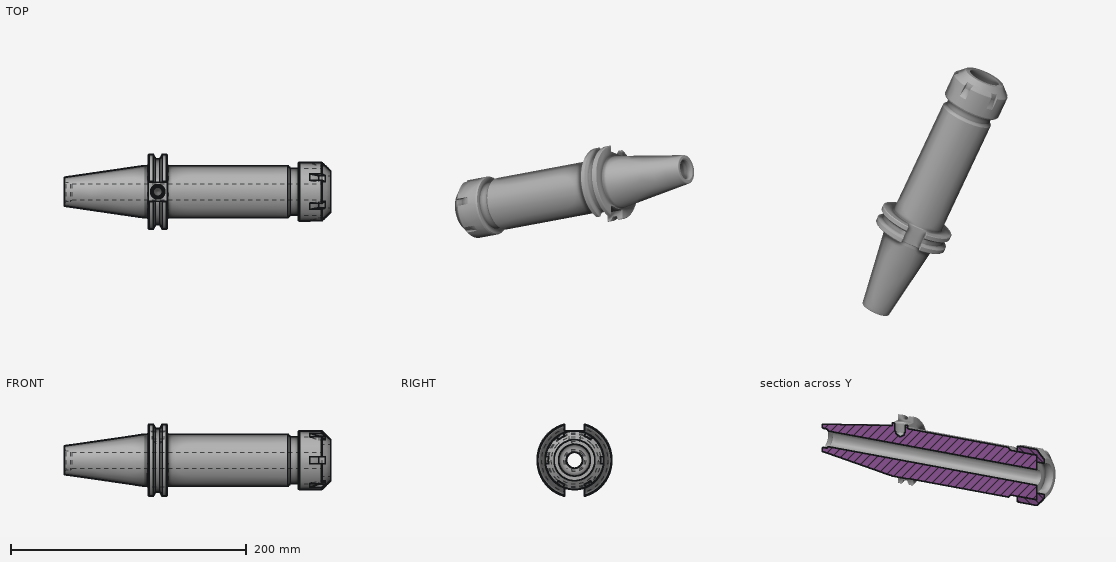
import cadquery as cq
import math


overall_length = 226.25

gauge_diameter = 44.45
taper_length = 68.25
taper_ratio = 7 / 24
small_end_diameter = gauge_diameter - taper_length * taper_ratio
tip_fillet = 1.0
tip_x = -taper_length

flange_diameter = 63.5
flange_start = 3.18
flange_width = 15.87
flange_end = flange_start + flange_width
flange_middle = flange_start + flange_width / 2
flange_chamfer = 0.65
flange_root_fillet = 0.8
groove_floor_diameter = 56.36
groove_floor_width = 3.8
groove_flank_angle = 30
groove_depth = (flange_diameter - groove_floor_diameter) / 2
groove_mouth_width = groove_floor_width + 2 * groove_depth * math.tan(math.radians(groove_flank_angle))

drive_slot_width = 16.13
upper_slot_floor = 25.0
lower_slot_floor = 22.6

screw_hole_mouth_diameter = 12.0
screw_hole_diameter = 10.13
screw_hole_depth = 7.0
pilot_diameter = 8.0
pilot_depth = 9.0
drill_point_angle = 118

body_diameter = gauge_diameter
neck_diameter = 40.0
body_end = 121.4
neck_start = 123.7

bore_diameter = 13.39
counterbore_diameter = 16.46
counterbore_mouth_diameter = 18.92
counterbore_mouth_depth = 1.23
counterbore_depth = 5.0

nut_diameter = 50.0
nut_end = overall_length - taper_length
nut_start = 130.4
nut_front_chamfer = 7.6
front_corner = nut_end - nut_front_chamfer
nut_rear_chamfer_length = 1.2
nut_rear_chamfer_height = 0.7
nut_front_edge_break = 0.3
nut_opening_diameter = 27.0
spigot_end = front_corner

spanner_slot_count = 6
spanner_slot_width = 6.2
spanner_slot_start = 140.0
spanner_slot_ramp_end = 147.7
spanner_slot_end = 153.3
spanner_slot_floor_radius = nut_diameter / 2 - (spanner_slot_end - front_corner)


def revolve_about_x(profile):
    """Solid of revolution about X from (x, radius) points."""
    return cq.Workplane("XY").polyline(profile).close().revolve(360, (0, 0, 0), (1, 0, 0))


def disc_along_x(start, end, diameter):
    """Cylinder on the X axis."""
    return cq.Workplane("YZ").workplane(offset=start).circle(diameter / 2).extrude(end - start)


def make_shank_and_body():
    profile = [
        (tip_x, 0),
        (tip_x, small_end_diameter / 2),
        (0, gauge_diameter / 2),
        (body_end, body_diameter / 2),
        (neck_start, neck_diameter / 2),
        (spigot_end, neck_diameter / 2),
        (spigot_end, 0),
    ]
    return revolve_about_x(profile).faces("<X").edges().fillet(tip_fillet)


def make_grooved_rim():
    """Flange disc with the V groove around its edge."""
    rim = flange_diameter / 2
    groove_floor = groove_floor_diameter / 2
    profile = [
        (flange_start, 0),
        (flange_start, rim),
        (flange_middle - groove_mouth_width / 2, rim),
        (flange_middle - groove_floor_width / 2, groove_floor),
        (flange_middle + groove_floor_width / 2, groove_floor),
        (flange_middle + groove_mouth_width / 2, rim),
        (flange_end, rim),
        (flange_end, 0),
    ]
    return revolve_about_x(profile)


def make_drive_slot(floor, side):
    """Cutter for one drive slot; side is +1 above the axis and -1 below it."""
    height = flange_diameter / 2 - floor
    cutter = cq.Workplane("XY").box(flange_width, drive_slot_width, height)
    return cutter.translate((flange_middle, 0, side * (floor + height / 2)))


def make_flange():
    """Slotted flange with its rims, slot walls and slot corners chamfered."""
    flange = make_grooved_rim()
    flange = flange.cut(make_drive_slot(upper_slot_floor, 1))
    flange = flange.cut(make_drive_slot(lower_slot_floor, -1))
    face_edges = flange.faces("<X or >X").edges("not |Y")
    slot_corners = flange.edges("|X").filter(lambda edge: abs(edge.Center().z) > groove_floor_diameter / 2)
    return face_edges.add(slot_corners).chamfer(flange_chamfer)


def make_flange_root():
    """Collar under the flange that blends it into the shank and the body."""
    root = body_diameter / 2
    fillet = flange_root_fillet
    bend = fillet * (1 - math.sqrt(0.5))
    outline = (
        cq.Workplane("XY")
        .moveTo(flange_start - fillet, 0)
        .lineTo(flange_start - fillet, root)
        .threePointArc((flange_start - bend, root + bend), (flange_start, root + fillet))
        .lineTo(flange_end, root + fillet)
        .threePointArc((flange_end + bend, root + bend), (flange_end + fillet, root))
        .lineTo(flange_end + fillet, 0)
        .close()
    )
    collar = outline.revolve(360, (0, 0, 0), (1, 0, 0))
    return collar.cut(make_drive_slot(lower_slot_floor, -1))


def make_screw_hole():
    """Cutter for the stepped blind hole in the upper slot floor."""
    mouth_depth = (screw_hole_mouth_diameter - screw_hole_diameter) / 2
    point_depth = pilot_diameter / 2 / math.tan(math.radians(drill_point_angle / 2))
    profile = [
        (0, 0),
        (screw_hole_mouth_diameter / 2, 0),
        (screw_hole_diameter / 2, -mouth_depth),
        (screw_hole_diameter / 2, -screw_hole_depth),
        (pilot_diameter / 2, -screw_hole_depth),
        (pilot_diameter / 2, -pilot_depth),
        (0, -pilot_depth - point_depth),
    ]
    hole = cq.Workplane("XZ").polyline(profile).close().revolve(360, (0, 0, 0), (0, 1, 0))
    return hole.translate((flange_middle, 0, upper_slot_floor))


def make_bore():
    """Cutter for the through bore with its counterbore at the shank end."""
    step_depth = (counterbore_diameter - bore_diameter) / 2
    profile = [
        (tip_x, 0),
        (tip_x, counterbore_mouth_diameter / 2),
        (tip_x + counterbore_mouth_depth, counterbore_diameter / 2),
        (tip_x + counterbore_depth, counterbore_diameter / 2),
        (tip_x + counterbore_depth + step_depth, bore_diameter / 2),
        (spigot_end, bore_diameter / 2),
        (spigot_end, 0),
    ]
    return revolve_about_x(profile)


def make_holder():
    holder = make_shank_and_body().union(make_flange_root()).union(make_flange())
    holder = holder.cut(make_screw_hole())
    return holder.cut(make_bore())


def make_spanner_slot():
    """Cutter for the slot facing -Y: a ramp down to a round floor, between parallel walls."""
    radius = nut_diameter / 2
    profile = [
        (spanner_slot_start, radius),
        (spanner_slot_ramp_end, spanner_slot_floor_radius),
        (nut_end, spanner_slot_floor_radius),
        (nut_end, radius),
    ]
    length = nut_end - spanner_slot_start
    walls = cq.Workplane("XY").box(length, nut_diameter, spanner_slot_width)
    walls = walls.translate((spanner_slot_start + length / 2, -radius, 0))
    return revolve_about_x(profile).intersect(walls)


def make_nut():
    radius = nut_diameter / 2
    slanted_break = nut_front_edge_break * math.sqrt(0.5)
    profile = [
        (nut_start, 0),
        (nut_start, radius - nut_rear_chamfer_height),
        (nut_start + nut_rear_chamfer_length, radius),
        (front_corner - nut_front_edge_break, radius),
        (front_corner + slanted_break, radius - slanted_break),
        (nut_end, radius - nut_front_chamfer),
        (nut_end, 0),
    ]
    nut = revolve_about_x(profile)
    nut = nut.cut(disc_along_x(nut_start, spigot_end, neck_diameter))
    nut = nut.cut(disc_along_x(spigot_end, nut_end, nut_opening_diameter))
    for index in range(spanner_slot_count):
        angle = index * 360 / spanner_slot_count
        nut = nut.cut(make_spanner_slot().rotate((0, 0, 0), (1, 0, 0), angle))
    return nut


holder = make_holder()
nut = make_nut()

result = cq.Compound.makeCompound([holder.val(), nut.val()])